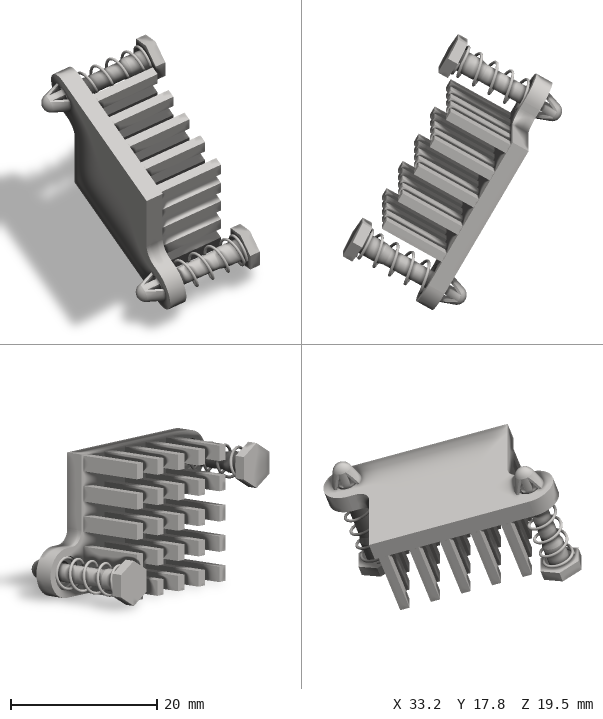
import cadquery as cq
import math


plate_length = 33.18
plate_height = 19.5
plate_thickness = 2.52
block_width = 20.0
lobe_radius = 3.45
corner_radius = 2.0

fin_count = 5
fin_width = 1.33
fin_height = 2.15
fin_length = 9.45
fin_pitch_x = 4.4
fin_pitch_z = 4.2

pin_x = plate_length / 2 - lobe_radius
pin_z = plate_height / 2 - lobe_radius
head_across_flats = 5.45
head_thickness = 1.5
head_face = 10.45
collar_radius = 1.53
collar_length = 3.02
taper_length = 1.0
shank_radius = 1.25
tip_length = 3.3
barb_root_radius = 2.12
nose_radius = 1.3
nose_length = 0.9
barb_width = 2.32
rib_width = 1.0
slot_end_gap = 0.43
slot_root_half_width = 1.43

wire_radius = 0.2
coil_radius = 2.12
coil_pitch = 2.45
open_turns = 4
closed_pitch = 0.45
closed_turns = 1
points_per_turn = 24
spring_start_angles = [180, 90]

pin_hole_radius = 1.6
seat_radius = 2.4

pin_places = [(-pin_x, pin_z), (pin_x, -pin_z)]
plate_front = -plate_thickness
tip_y = plate_front - tip_length
nose_y = tip_y + nose_length
closed_length = closed_turns * closed_pitch
spring_length = 2 * (closed_length + wire_radius) + open_turns * coil_pitch
seat_depth = spring_length - head_face


def extrude_along_y(sketch, start, length):
    """Extrude an XZ outline from Y = start towards +Y."""
    return sketch.extrude(-length).translate((0, start, 0))


def about_y(outline):
    """Revolve a closed (radius, Y) outline about the Y axis."""
    return outline.close().revolve(360, (0, 0, 0), (0, 1, 0))


def make_plate():
    """A rectangular block with a round lobe at two opposite corners."""
    half_length = plate_length / 2
    half_height = plate_height / 2
    half_block = block_width / 2
    lobe_inner_z = half_height - 2 * lobe_radius
    outline = (
        cq.Workplane("XZ")
        .moveTo(-pin_x, half_height)
        .lineTo(half_block, half_height)
        .lineTo(half_block, -lobe_inner_z)
        .lineTo(pin_x, -lobe_inner_z)
        .threePointArc((half_length, -pin_z), (pin_x, -half_height))
        .lineTo(-half_block, -half_height)
        .lineTo(-half_block, lobe_inner_z)
        .lineTo(-pin_x, lobe_inner_z)
        .threePointArc((-half_length, pin_z), (-pin_x, half_height))
        .close()
    )
    plate = extrude_along_y(outline, plate_front, plate_thickness)
    for side in (-1, 1):
        corner = (side * half_block, plate_front / 2, -side * lobe_inner_z)
        corner_edge = cq.selectors.NearestToPointSelector(corner)
        plate = plate.edges("|Y").edges(corner_edge).fillet(corner_radius)
    return plate


def make_heat_sink():
    """Plate and fins, with a hole and a sunk spring seat for each push pin."""
    fin_grid = cq.Workplane("XZ").rarray(fin_pitch_x, fin_pitch_z, fin_count, fin_count)
    fins = fin_grid.rect(fin_width, fin_height)
    sink = make_plate().union(extrude_along_y(fins, 0, fin_length))
    for x, z in pin_places:
        hole = extrude_along_y(cq.Workplane("XZ").circle(pin_hole_radius), plate_front, plate_thickness)
        seat = extrude_along_y(cq.Workplane("XZ").circle(seat_radius), -seat_depth, seat_depth)
        sink = sink.cut(hole.union(seat).translate((x, 0, z)))
    return sink


def make_barbs():
    """Both barbs before they are slotted: a cone trimmed to a flat strip."""
    cone = about_y(
        cq.Workplane("XY")
        .moveTo(0, plate_front)
        .lineTo(barb_root_radius, plate_front)
        .lineTo(nose_radius, nose_y)
        .lineTo(0, nose_y)
    )
    strip = cq.Workplane("XY").box(2 * barb_root_radius, 2 * tip_length, barb_width)
    return cone.intersect(strip.translate((0, plate_front, 0)))


def make_slots():
    """Openings between the middle rib and the barbs, through the whole tip in Z."""
    slots = cq.Workplane("XY")
    for side in (-1, 1):
        slot = (
            cq.Workplane("XY")
            .moveTo(side * rib_width / 2, plate_front)
            .lineTo(side * slot_root_half_width, plate_front)
            .lineTo(side * rib_width / 2, nose_y + slot_end_gap)
            .close()
            .extrude(barb_root_radius, both=True)
        )
        slots = slots.add(slot)
    return slots


def make_push_pin():
    """Hexagonal head, tapered shank, rounded nose and two barbs that catch on the plate's front face."""
    collar_end = head_face - collar_length
    hexagon = cq.Workplane("XZ").polygon(6, head_across_flats, circumscribed=True)
    head = extrude_along_y(hexagon, head_face, head_thickness)
    nose_sphere_radius = (nose_radius**2 + nose_length**2) / (2 * nose_length)
    nose_mid_height = nose_length / 2
    mid_radius = math.sqrt(nose_sphere_radius**2 - (nose_sphere_radius - nose_mid_height) ** 2)
    body = about_y(
        cq.Workplane("XY")
        .moveTo(0, head_face)
        .lineTo(collar_radius, head_face)
        .lineTo(collar_radius, collar_end)
        .lineTo(shank_radius, collar_end - taper_length)
        .lineTo(shank_radius, nose_y)
        .lineTo(nose_radius, nose_y)
        .threePointArc((mid_radius, tip_y + nose_mid_height), (0, tip_y))
    )
    return body.union(head).union(make_barbs()).cut(make_slots())


def make_spring(start_angle):
    """A right-handed spring whose end coils lie closed, swept along its wire's centre line."""
    total_turns = open_turns + 2 * closed_turns
    centre_line = []
    for step in range(total_turns * points_per_turn + 1):
        turns = step / points_per_turn
        open_part = min(max(turns - closed_turns, 0), open_turns)
        closed_part = turns - open_part
        y = wire_radius - seat_depth + open_part * coil_pitch + closed_part * closed_pitch
        angle = math.radians(start_angle) + 2 * math.pi * turns
        centre_line.append(cq.Vector(coil_radius * math.sin(angle), y, coil_radius * math.cos(angle)))
    path = cq.Edge.makeSpline(centre_line)
    start_plane = cq.Plane(path.startPoint(), normal=path.tangentAt(0))
    wire_section = cq.Workplane(start_plane).circle(wire_radius)
    return wire_section.sweep(cq.Workplane(cq.Wire.assembleEdges([path])), isFrenet=True)


heat_sink = make_heat_sink()
push_pins = [make_push_pin().translate((x, 0, z)) for x, z in pin_places]
springs = [
    make_spring(angle).translate((x, 0, z))
    for (x, z), angle in zip(pin_places, spring_start_angles)
]

result = cq.Compound.makeCompound(
    [heat_sink.val()] + [pin.val() for pin in push_pins] + [spring.val() for spring in springs]
)